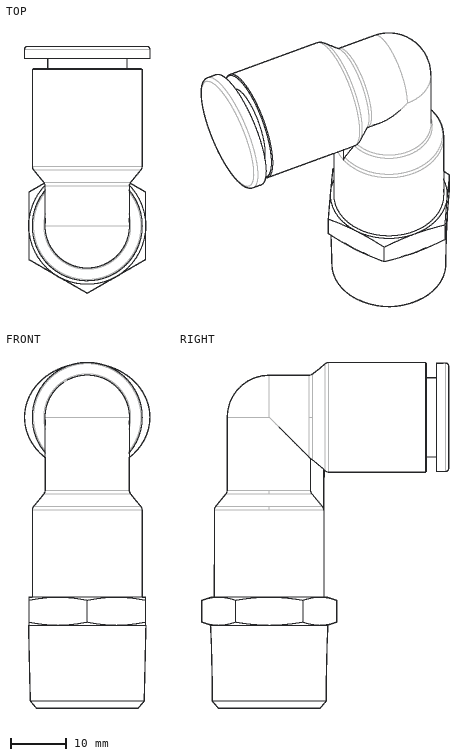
import cadquery as cq
import math

BODY_RADIUS = 9.85
PIPE_RADIUS = 7.6
SHOULDER_LENGTH = 2.8
SHOULDER_FILLET = 1.0

TOTAL_HEIGHT = 62.05
TOTAL_DEPTH = 44.3

PORT_AXIS_Z = TOTAL_HEIGHT - BODY_RADIUS
STUD_SHOULDER_START = 13.45
HEX_BOTTOM = 14.9
HEX_THICKNESS = 5.0
HEX_ACROSS_FLATS = 21.0
HEX_CHAMFER_DROP = 0.55
THREAD_TOP_RADIUS = 10.55
THREAD_END_RADIUS = 10.25
THREAD_CHAMFER_LENGTH = 1.3
THREAD_TIP_RADIUS = 9.1

PORT_SHOULDER_START = 7.5
PORT_BODY_END = 28.2
PORT_END_CHAMFER = 0.2
NECK_RADIUS = 7.15
RING_START = 30.0
RING_WIDTH = 22.5
RING_HEIGHT = 19.5
RING_FILLET = 0.55

WEB_THICKNESS = 3.0

HEX_CORNER_RADIUS = HEX_ACROSS_FLATS / math.sqrt(3)
HEX_TOP = HEX_BOTTOM + HEX_THICKNESS
RING_END = TOTAL_DEPTH - HEX_CORNER_RADIUS


def make_arm(shoulder_start, body_end):
    """Pipe that widens through a rounded conical shoulder into the body, along +Z from the origin."""
    profile = (
        cq.Workplane("XZ")
        .lineTo(PIPE_RADIUS, 0)
        .lineTo(PIPE_RADIUS, shoulder_start)
        .lineTo(BODY_RADIUS, shoulder_start + SHOULDER_LENGTH)
        .lineTo(BODY_RADIUS, body_end)
        .lineTo(0, body_end)
        .close()
    )
    arm = profile.revolve(360, (0, 0, 0), (0, 1, 0))
    reach = 2 * BODY_RADIUS
    shoulder_box = cq.selectors.BoxSelector(
        (-reach, -reach, shoulder_start - SHOULDER_FILLET),
        (reach, reach, shoulder_start + SHOULDER_LENGTH + SHOULDER_FILLET),
    )
    return arm.edges("%CIRCLE").edges(shoulder_box).fillet(SHOULDER_FILLET)


def make_port():
    """Port arm with a neck and an oval release ring, modelled along Z and then laid down along +Y."""
    arm = make_arm(PORT_SHOULDER_START, PORT_BODY_END)
    arm = arm.faces(">Z").edges().chamfer(PORT_END_CHAMFER)
    neck = (
        cq.Workplane("XY")
        .workplane(offset=PORT_BODY_END)
        .circle(NECK_RADIUS)
        .extrude(RING_START - PORT_BODY_END)
    )
    ring = (
        cq.Workplane("XY")
        .workplane(offset=RING_START)
        .ellipse(RING_WIDTH / 2, RING_HEIGHT / 2)
        .extrude(RING_END - RING_START)
        .faces(">Z")
        .edges()
        .fillet(RING_FILLET)
    )
    port = arm.union(neck).union(ring)
    return port.rotate((0, 0, 0), (1, 0, 0), -90).translate((0, 0, PORT_AXIS_Z))


def make_stud_arm():
    """Arm hanging from the elbow centre down to the underside of the hexagon."""
    arm = make_arm(STUD_SHOULDER_START, PORT_AXIS_Z - HEX_BOTTOM)
    return arm.rotate((0, 0, 0), (1, 0, 0), 180).translate((0, 0, PORT_AXIS_Z))


def make_hexagon():
    """Hexagon with corners on the Y axis, both faces chamfered by shallow cones."""
    hexagon = (
        cq.Workplane("XY")
        .workplane(offset=HEX_BOTTOM)
        .polygon(6, 2 * HEX_CORNER_RADIUS)
        .extrude(HEX_THICKNESS)
        .rotate((0, 0, 0), (0, 0, 1), 90)
    )
    flat_radius = HEX_ACROSS_FLATS / 2
    envelope = (
        cq.Workplane("XZ")
        .moveTo(0, HEX_BOTTOM)
        .lineTo(flat_radius, HEX_BOTTOM)
        .lineTo(HEX_CORNER_RADIUS, HEX_BOTTOM + HEX_CHAMFER_DROP)
        .lineTo(HEX_CORNER_RADIUS, HEX_TOP - HEX_CHAMFER_DROP)
        .lineTo(flat_radius, HEX_TOP)
        .lineTo(0, HEX_TOP)
        .close()
        .revolve(360, (0, 0, 0), (0, 1, 0))
    )
    return hexagon.intersect(envelope)


def make_thread():
    """Plain tapered thread body with a chamfered tip."""
    return (
        cq.Workplane("XZ")
        .lineTo(THREAD_TIP_RADIUS, 0)
        .lineTo(THREAD_END_RADIUS, THREAD_CHAMFER_LENGTH)
        .lineTo(THREAD_TOP_RADIUS, HEX_BOTTOM)
        .lineTo(0, HEX_BOTTOM)
        .close()
        .revolve(360, (0, 0, 0), (0, 1, 0))
    )


def make_web():
    """Web filling the inner corner, its outer edge following the stud body's cylinder."""
    bottom = PORT_AXIS_Z - STUD_SHOULDER_START - SHOULDER_LENGTH - SHOULDER_FILLET
    height = PORT_AXIS_Z - bottom
    slab = cq.Workplane("XY").box(WEB_THICKNESS, BODY_RADIUS, height, centered=(True, False, False))
    body_cylinder = cq.Workplane("XY").circle(BODY_RADIUS).extrude(height)
    return slab.intersect(body_cylinder).translate((0, 0, bottom))


elbow = cq.Workplane("XY").sphere(PIPE_RADIUS).translate((0, 0, PORT_AXIS_Z))

result = make_stud_arm().union(make_port()).union(elbow)
result = result.union(make_web()).union(make_hexagon()).union(make_thread())